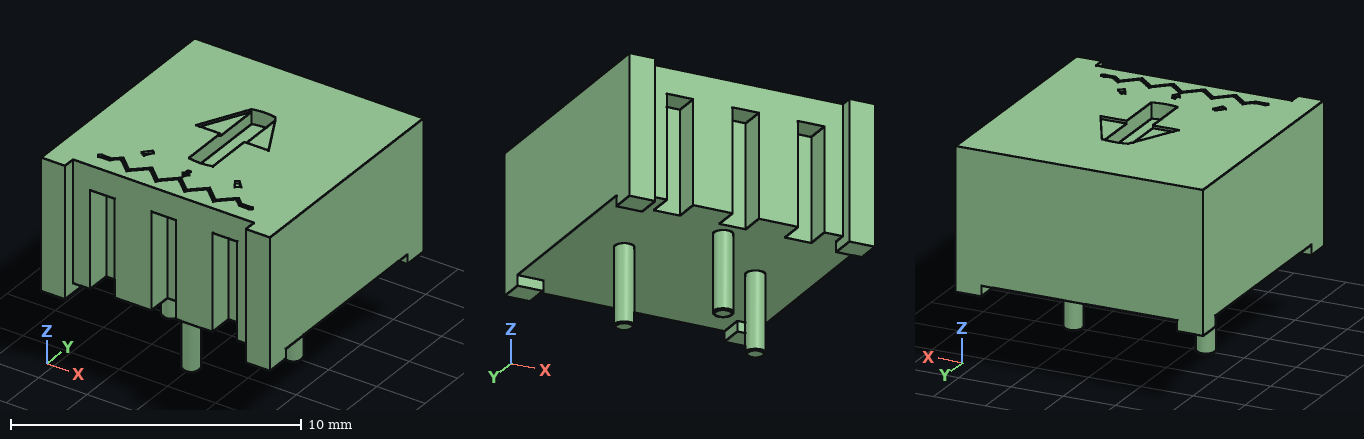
import cadquery as cq
import math

side = 9.5
half_side = side / 2
body_height = 5.0
corner_size = 1.0
foot_height = 0.4
front_recess = 0.5

pin_pitch = 2.54
pin_offsets = (-pin_pitch, 0, pin_pitch)
slot_width = 1.02
slot_depth = 1.0
slot_height = 4.0

pin_diameter = 0.7
pin_length = 3.0
pin_chamfer = 0.05
pin_embed = 0.475
pin_positions = [(-pin_pitch, 0), (0, -pin_pitch), (pin_pitch, 0)]

rotor_radius = 2.0
driver_slot_width = 1.0
driver_slot_depth = 0.6
pointer_half_width = 1.5
mark_depth = 0.1

zigzag_y = -3.515
zigzag_pitch = 1.2
zigzag_amplitude = 0.28
zigzag_peaks = 5
zigzag_stroke = 0.13
lead_end_x = 3.12
lead_end_radius = 0.09

arrow_top_y = -2.65
arrow_shoulder_y = -2.85
arrow_tip_y = -3.09
arrow_shaft_width = 0.12
arrow_head_width = 0.285

tick_angle = 52.7
tick_inner_radius = 2.87
tick_outer_radius = 3.26
tick_inner_width = 0.15
tick_outer_width = 0.24


def top_cutter(depth, outline):
    """Prism that reaches down from the top face by the given depth."""
    return cq.Workplane("XY", origin=(0, 0, body_height)).polyline(outline).close().extrude(-depth)


def make_housing():
    inner_span = side - 2 * corner_size
    housing = cq.Workplane("XY").box(side, side, body_height, centered=(True, True, False))

    foot_center = half_side - corner_size / 2
    feet = (
        cq.Workplane("XY")
        .rect(2 * foot_center, 2 * foot_center, forConstruction=True)
        .vertices()
        .rect(corner_size, corner_size)
        .extrude(-foot_height)
    )
    recess = (
        cq.Workplane("XY")
        .center(0, -half_side + front_recess / 2)
        .rect(inner_span, front_recess)
        .extrude(body_height)
    )
    housing = housing.cut(recess).union(feet)

    slot_center_y = -half_side + front_recess + slot_depth / 2
    slots = (
        cq.Workplane("XY")
        .pushPoints([(x, slot_center_y) for x in pin_offsets])
        .rect(slot_width, slot_depth)
        .extrude(slot_height)
    )
    return housing.cut(slots)


def make_pins():
    return (
        cq.Workplane("XY", origin=(0, 0, pin_embed))
        .pushPoints(pin_positions)
        .circle(pin_diameter / 2)
        .extrude(-(pin_length + pin_embed))
        .faces("<Z")
        .chamfer(pin_chamfer)
    )


def make_driver_slot():
    """Screwdriver slot across the rotor, with ends that follow the rotor edge."""
    return (
        cq.Workplane("XY", origin=(0, 0, body_height))
        .circle(rotor_radius)
        .extrude(-driver_slot_depth)
        .intersect(cq.Workplane("XY").box(driver_slot_width, side, 2 * side))
    )


def make_pointer():
    """Arrowhead whose edges run from its base corners to the ends of the driver slot."""
    slot_half = driver_slot_width / 2
    shoulder_y = math.sqrt(rotor_radius**2 - slot_half**2)
    outline = [
        (-pointer_half_width, 0),
        (pointer_half_width, 0),
        (slot_half, shoulder_y),
        (-slot_half, shoulder_y),
    ]
    return top_cutter(mark_depth, outline)


def make_resistor_symbol():
    quarter = zigzag_pitch / 4
    zigzag_half = zigzag_pitch * (zigzag_peaks - 1) / 2
    center_line = [(-lead_end_x, zigzag_y), (-zigzag_half - quarter, zigzag_y)]
    for i in range(2 * zigzag_peaks - 1):
        direction = 1 if i % 2 == 0 else -1
        x = -zigzag_half + i * zigzag_pitch / 2
        center_line.append((x, zigzag_y + direction * zigzag_amplitude))
    center_line += [(zigzag_half + quarter, zigzag_y), (lead_end_x, zigzag_y)]

    upper = [(x, y + zigzag_stroke / 2) for x, y in center_line]
    lower = [(x, y - zigzag_stroke / 2) for x, y in reversed(center_line)]
    lead_ends = (
        cq.Workplane("XY", origin=(0, 0, body_height))
        .pushPoints([(-lead_end_x, zigzag_y), (lead_end_x, zigzag_y)])
        .circle(lead_end_radius)
        .extrude(-mark_depth)
    )
    return top_cutter(mark_depth, upper + lower).union(lead_ends)


def make_wiper_arrow():
    shaft = arrow_shaft_width / 2
    head = arrow_head_width / 2
    outline = [
        (-shaft, arrow_top_y),
        (shaft, arrow_top_y),
        (shaft, arrow_shoulder_y),
        (head, arrow_shoulder_y),
        (0, arrow_tip_y),
        (-head, arrow_shoulder_y),
        (-shaft, arrow_shoulder_y),
    ]
    return top_cutter(mark_depth, outline)


def make_tick(angle):
    """Tapered mark along the radius at the given angle in degrees."""
    outline = [
        (tick_inner_radius, -tick_inner_width / 2),
        (tick_outer_radius, -tick_outer_width / 2),
        (tick_outer_radius, tick_outer_width / 2),
        (tick_inner_radius, tick_inner_width / 2),
    ]
    return top_cutter(mark_depth, outline).rotate((0, 0, 0), (0, 0, 1), angle)


result = (
    make_housing()
    .union(make_pins())
    .cut(make_driver_slot())
    .cut(make_pointer())
    .cut(make_resistor_symbol())
    .cut(make_wiper_arrow())
    .cut(make_tick(-tick_angle))
    .cut(make_tick(tick_angle - 180))
)